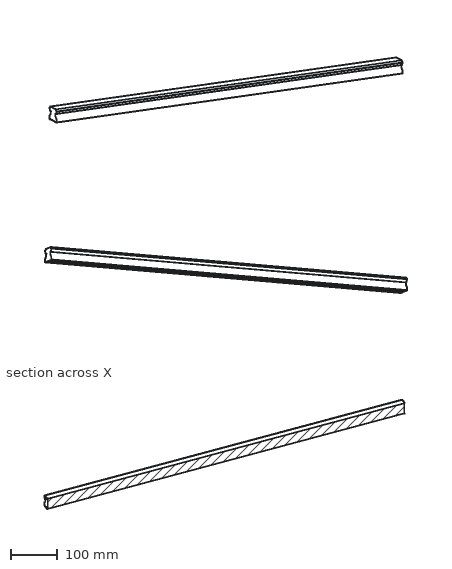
import cadquery as cq
import math

width = 34.0
length = 840.0
height = 29.0
half_width = width / 2

foot_chamfer = 1.0
relief_half_width = 8.8
relief_depth = 0.4

shoulder_corner_height = 6.9
shoulder_outer_radius = 1.7
shoulder_inner_radius = 2.1

neck_half_width = 11.5
neck_top = 18.3
flank_half_width = 13.3
flank_top = 24.4
groove_radius = 3.7

groove_bottom = height - groove_radius
top_half_width = half_width - groove_radius

shoulder_top = shoulder_corner_height + half_width - neck_half_width


def half_section():
    """Right half of the rail section, closed along the centre plane."""
    groove_reach = groove_radius * math.sqrt(0.5)
    groove_middle = (half_width - groove_reach, height - groove_reach)
    return (
        cq.Workplane("XZ")
        .moveTo(0, relief_depth)
        .lineTo(relief_half_width, relief_depth)
        .lineTo(relief_half_width, 0)
        .lineTo(half_width - foot_chamfer, 0)
        .lineTo(half_width, foot_chamfer)
        .lineTo(half_width, shoulder_corner_height)
        .lineTo(neck_half_width, shoulder_top)
        .lineTo(neck_half_width, neck_top)
        .lineTo(flank_half_width, neck_top)
        .lineTo(half_width, flank_top)
        .lineTo(half_width, groove_bottom)
        .threePointArc(groove_middle, (top_half_width, height))
        .lineTo(0, height)
        .close()
    )


def round_long_edge(body, x, z, radius):
    """Round the lengthwise edge that passes through (x, z)."""
    edge = cq.selectors.NearestToPointSelector((x, 0, z))
    return body.edges("|Y").edges(edge).fillet(radius)


half_rail = half_section().extrude(length / 2, both=True)
half_rail = round_long_edge(half_rail, half_width, shoulder_corner_height, shoulder_outer_radius)
half_rail = round_long_edge(half_rail, neck_half_width, shoulder_top, shoulder_inner_radius)

result = half_rail.union(half_rail.mirror("YZ")).clean()